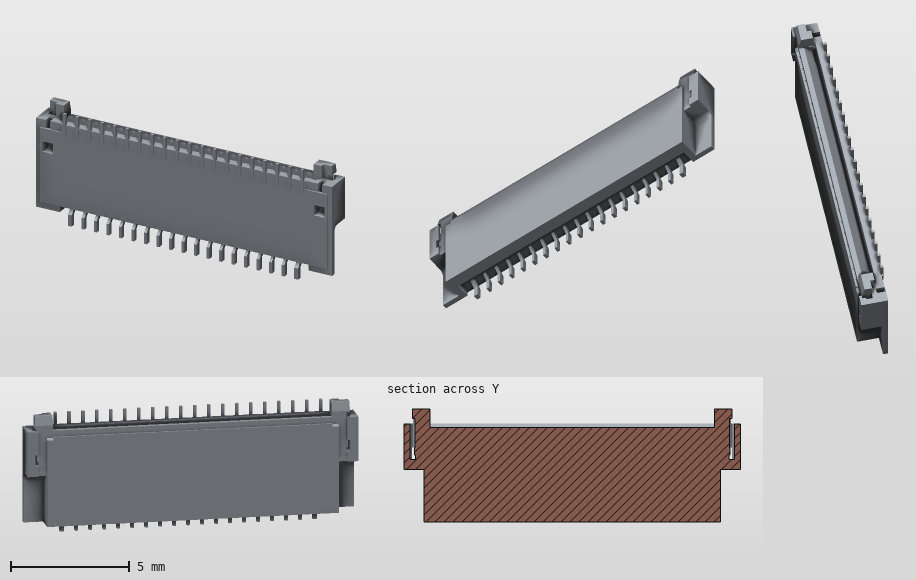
import cadquery as cq


length = 14.2
half_length = length / 2
depth = 1.15
height = 4.16
core_half = 6.26
flange_thickness = 0.21
ear_bottom = 2.22
ear_fillet = 0.23

panel_thickness = 0.05
panel_half = 6.89
panel_bottom = 0.3
panel_shoulder = 3.78
panel_tab_half = 5.85
recess_half = 5.96
recess_depth = 0.64

bar_back = 1.04
rear_wall_top = 3.9
ear_lip_end = 6.63
rear_wall_end_drop = 0.04
rear_wall_chamfer = 0.09
groove_depth = 0.04

slot_half = 5.99
slot_front = 0.3
slot_floor = 2.84
wedge_top_front = 0.81
wedge_foot_front = 0.47
wedge_foot = height - (wedge_top_front - wedge_foot_front)
lead_in_width = 0.17
lead_in_depth = 0.13

grip_top = 4.8
grip_outer = 6.76
grip_step = 6.38
grip_front = 0.43
grip_step_front = 0.61
grip_bevel = 0.1
grip_bevel_bottom = 4.4
grip_gap = 0.04
stem_top = 4.36
stem_outer = 6.72
stem_flank_front = 0.72
stem_flank_back = 0.81
stem_front_corner = 6.59
stem_back_corner = 6.62
pocket_outer = 6.85
pocket_front = 0.6
pocket_corner = 0.82
pocket_neck = 0.92
channel_outer = 6.63
channel_inner = 6.42
channel_floor = 3.41
channel_sill = 0.07
channel_step = 0.05
channel_step_drop = 0.03

window_bottom = 2.67
window_top = 3.15
leg_outer = 6.67
leg_front = 0.31
leg_step = 0.05
leg_step_top = 2.83
leg_nick_width = 0.1
leg_nick_top = 2.88

contact_count = 20
contact_pitch = 11.4 / (contact_count - 1)
contact_width = 0.13
contact_front = -0.1
contact_thickness = 0.13
contact_bottom = 3.72
contact_top = 4.69
tail_count = contact_count - 1
overall_height = 5.3
tail_bottom = grip_top - overall_height
tail_back = 0.13
tail_shoulder = 0.03
tail_back_run = 0.24
end_tail_extra = 0.05


def box(x0, x1, y0, y1, z0, z1):
    """Box between two opposite corners."""
    return cq.Workplane("XY").box(x1 - x0, y1 - y0, z1 - z0, centered=False).translate((x0, y0, z0))


def side_profile(points, x0, x1):
    """Outline of (Y, Z) points extruded from x0 to x1."""
    return cq.Workplane("YZ").workplane(offset=x0).polyline(points).close().extrude(x1 - x0)


def plan_profile(points, z0, z1):
    """Outline of (X, Y) points extruded from z0 to z1."""
    return cq.Workplane("XY").workplane(offset=z0).polyline(points).close().extrude(z1 - z0)


def both_ends(solid):
    """A feature of the +X end together with its mirror image."""
    return solid.union(solid.mirror("YZ"))


def contact_row(count):
    """X positions of a centred row of contacts."""
    return [(i - (count - 1) / 2) * contact_pitch for i in range(count)]


def housing():
    body = box(-half_length, half_length, 0, depth, 0, height)
    under_ear = box(core_half, half_length, flange_thickness, depth, 0, ear_bottom)
    under_ear = under_ear.edges("|X and <Y and >Z").fillet(ear_fillet)
    body = body.cut(both_ends(under_ear))
    body = body.cut(box(-recess_half, recess_half, 0, recess_depth, 0, panel_bottom))
    return body


def panel():
    plate = box(-panel_half, panel_half, -panel_thickness, 0, panel_bottom, panel_shoulder)
    tab = box(-panel_tab_half, panel_tab_half, -panel_thickness, 0, panel_shoulder, height)
    return plate.union(tab)


def rear_wall_relief():
    """Lowered rear wall, its sloped ends and the gaps beside the ears."""
    relief = box(-core_half, core_half, bar_back, depth, rear_wall_top, height)
    gap = box(core_half, ear_lip_end, bar_back, depth, 0, height)
    end_top = rear_wall_top - rear_wall_end_drop
    slope = side_profile(
        [
            (bar_back, rear_wall_top),
            (depth, rear_wall_top),
            (depth, end_top - rear_wall_chamfer),
            (depth - rear_wall_chamfer, end_top),
            (bar_back, end_top),
        ],
        slot_half,
        core_half,
    )
    relief = relief.union(both_ends(gap.union(slope)))
    half = contact_width / 2
    for x in contact_row(contact_count):
        groove = box(
            x - half, x + half,
            bar_back, bar_back + groove_depth,
            rear_wall_top - groove_depth, rear_wall_top,
        )
        relief = relief.union(groove)
    return relief


def cable_slot():
    slot = side_profile(
        [
            (slot_front, height),
            (slot_front, slot_floor),
            (wedge_foot_front, slot_floor),
            (wedge_foot_front, wedge_foot),
            (wedge_top_front, height),
        ],
        -slot_half,
        slot_half,
    )
    lead_in = (
        cq.Workplane("XZ", origin=(0, slot_front, 0))
        .polyline(
            [
                (slot_half, height),
                (slot_half + lead_in_width, height),
                (slot_half, height - lead_in_width),
            ]
        )
        .close()
        .extrude(-lead_in_depth)
    )
    return slot.union(both_ends(lead_in))


def ear_openings():
    """Pocket behind the grip, channel in front of it and the window through the ear."""
    pocket = plan_profile(
        [
            (core_half, pocket_front),
            (pocket_outer, pocket_front),
            (pocket_outer, pocket_corner),
            (grip_outer, pocket_neck),
            (grip_outer, bar_back),
            (core_half, bar_back),
        ],
        window_bottom,
        height,
    )
    channel = (
        box(channel_inner, channel_outer, 0, grip_front, height - channel_step_drop, height)
        .union(box(channel_inner, channel_outer, 0, grip_front - channel_step, panel_shoulder, height))
        .union(
            box(
                channel_inner, channel_outer,
                channel_sill, grip_front - channel_step,
                channel_floor, panel_shoulder,
            )
        )
    )
    window = box(core_half, grip_outer, -panel_thickness, depth, window_bottom, window_top)
    return both_ends(pocket.union(channel).union(window))


def lock_grips():
    """Grip heads above the housing, their stems and the latch legs in the windows."""
    head = side_profile(
        [
            (grip_front, height + grip_gap),
            (grip_step_front, height + grip_gap),
            (grip_step_front, height),
            (bar_back, height),
            (bar_back, grip_bevel_bottom),
            (bar_back - grip_bevel, grip_top),
            (grip_front, grip_top),
        ],
        slot_half,
        grip_outer,
    )
    head = head.cut(box(grip_step, grip_outer, grip_front, grip_step_front, height, grip_top))
    around_stem = box(channel_inner, grip_outer, grip_front, bar_back, height, stem_top)
    stem = plan_profile(
        [
            (core_half, grip_step_front),
            (stem_front_corner, grip_step_front),
            (stem_outer, stem_flank_front),
            (stem_outer, stem_flank_back),
            (stem_back_corner, bar_back),
            (core_half, bar_back),
        ],
        window_top,
        stem_top,
    )
    leg = box(core_half, leg_outer, leg_front, bar_back, window_bottom, window_top)
    leg = leg.cut(box(leg_outer - leg_step, leg_outer, 0, depth, window_bottom, leg_step_top))
    nick = box(
        core_half, core_half + leg_nick_width,
        leg_front, leg_front + leg_nick_width,
        window_bottom, leg_nick_top,
    )
    return both_ends(head.cut(around_stem).union(stem).union(leg.cut(nick)))


def upper_contacts():
    contacts = cq.Workplane("XY")
    half = contact_width / 2
    for x in contact_row(contact_count):
        contacts = contacts.union(
            box(
                x - half, x + half,
                contact_front, contact_front + contact_thickness,
                contact_bottom, contact_top,
            )
        )
    return contacts


def lower_tails():
    """Solder tails sloping out of the recess; the end tails are wider outwards."""
    profile = [
        (contact_front, tail_bottom),
        (tail_back, tail_bottom),
        (tail_back, tail_shoulder),
        (tail_back + tail_back_run, panel_bottom),
        (contact_front + panel_bottom - tail_shoulder, panel_bottom),
        (contact_front, tail_shoulder),
    ]
    tails = cq.Workplane("XY")
    row = contact_row(tail_count)
    for x in row:
        left = x - contact_width / 2
        right = x + contact_width / 2
        if x == row[0]:
            left -= end_tail_extra
        if x == row[-1]:
            right += end_tail_extra
        tails = tails.union(side_profile(profile, left, right))
    return tails


result = (
    housing()
    .union(panel())
    .cut(rear_wall_relief())
    .cut(cable_slot())
    .cut(ear_openings())
    .union(lock_grips())
    .union(upper_contacts())
    .union(lower_tails())
)